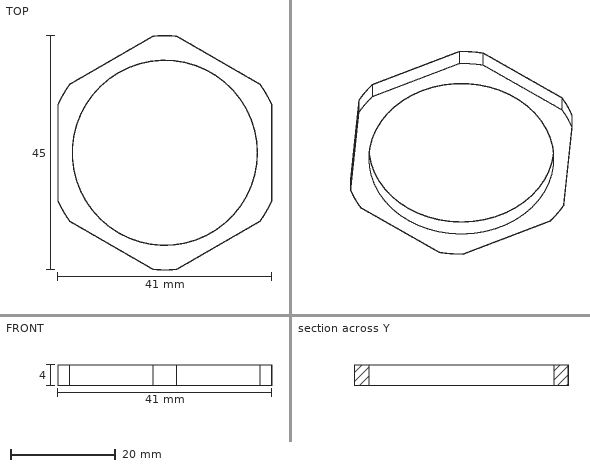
import cadquery as cq
import math

across_flats = 41.0
corner_diameter = 45.0
bore_diameter = 35.45
thickness = 4.0

across_corners = across_flats / math.cos(math.radians(30))
hexagon = (
    cq.Workplane("XY")
    .transformed(rotate=(0, 0, 90))
    .polygon(6, across_corners)
    .extrude(thickness)
)

corner_cylinder = cq.Workplane("XY").circle(corner_diameter / 2).extrude(thickness)
rounded_hexagon = hexagon.intersect(corner_cylinder)

bore = cq.Workplane("XY").circle(bore_diameter / 2).extrude(thickness)
result = rounded_hexagon.cut(bore)